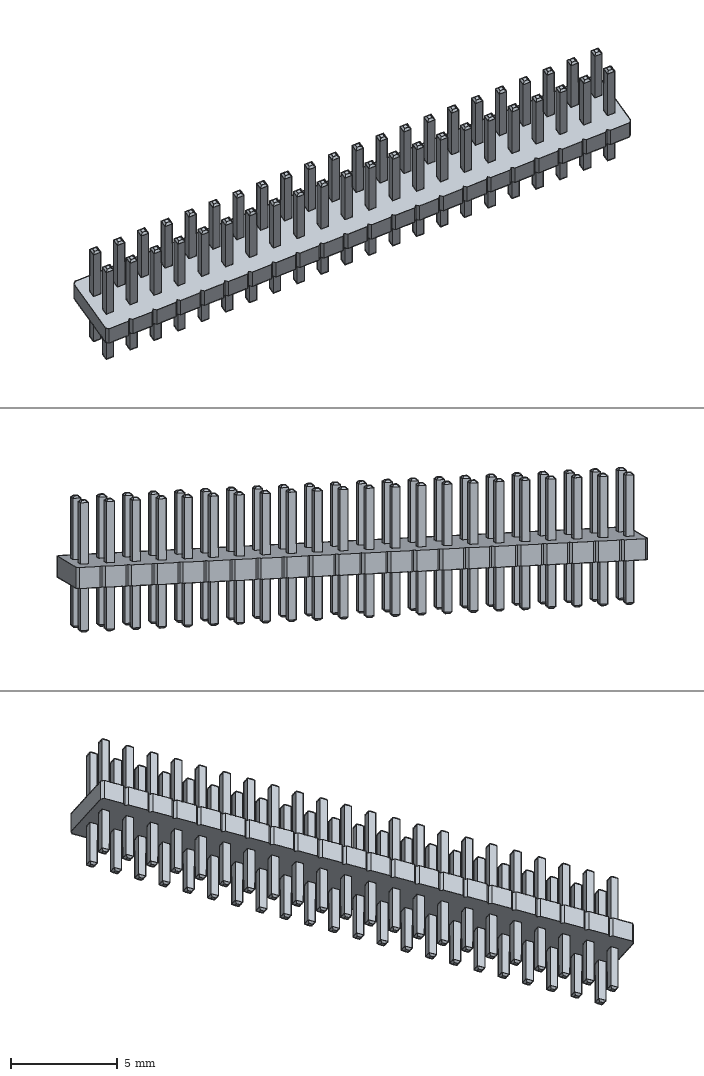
import cadquery as cq

body_length = 27.95
row_count = 22
column_count = 2
pitch = body_length / row_count

body_width = 3.4
body_height = 1.0
segment_chamfer = 0.125

pin_side = 0.4
pin_above_body = 3.02
pin_below_body = 2.25
pin_tip_chamfer = 0.1
pin_length = pin_above_body + body_height + pin_below_body


def centred_positions(count):
    """Positions spaced by the pitch and centred on zero."""
    return [(index - (count - 1) / 2) * pitch for index in range(count)]


def side_points(side):
    """Outline of one long side (side is -1 or 1 in X), in rising Y order."""
    outer_x = side * body_width / 2
    inner_x = outer_x - side * segment_chamfer
    points = [(inner_x, -body_length / 2)]
    for y in centred_positions(row_count):
        points.append((outer_x, y - pitch / 2 + segment_chamfer))
        points.append((outer_x, y + pitch / 2 - segment_chamfer))
        points.append((inner_x, y + pitch / 2))
    return points


def make_body():
    """Housing whose segment chamfers meet as V notches along both long sides."""
    outline = side_points(1) + side_points(-1)[::-1]
    return cq.Workplane("XY").polyline(outline).close().extrude(body_height)


def make_pin():
    """One square pin, tapered at both tips."""
    return (
        cq.Workplane("XY")
        .workplane(offset=-pin_below_body)
        .box(pin_side, pin_side, pin_length, centered=(True, True, False))
        .faces("<Z or >Z")
        .chamfer(pin_tip_chamfer)
    )


pin = make_pin().val()
pins = [
    pin.translate(cq.Vector(x, y, 0))
    for y in centred_positions(row_count)
    for x in centred_positions(column_count)
]
result = cq.Workplane(make_body().val().fuse(*pins).Solids()[0])